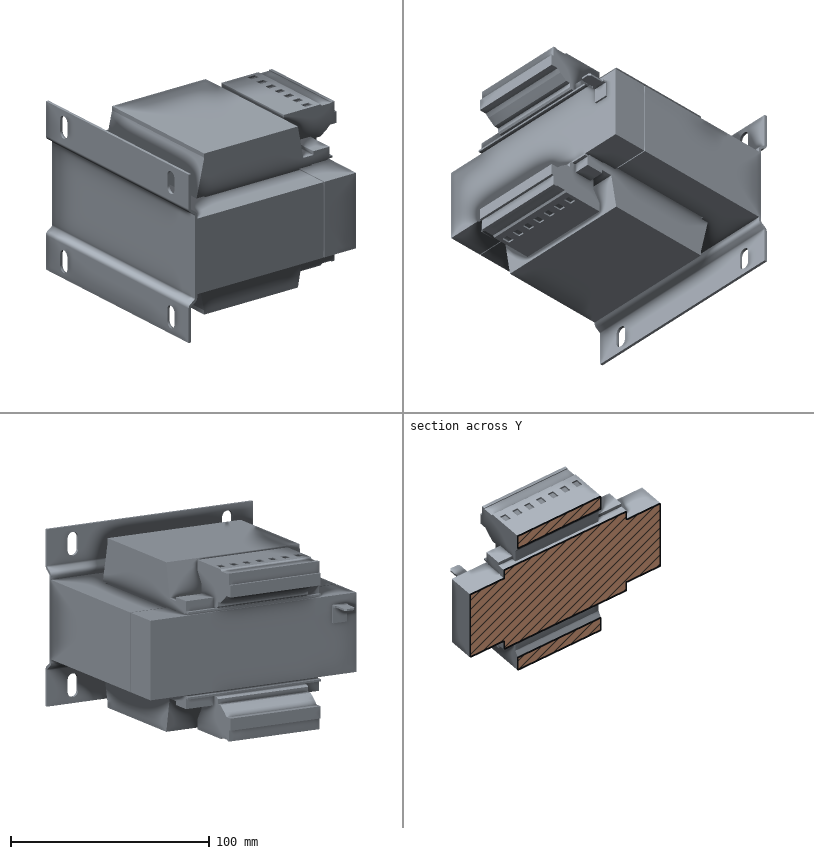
import cadquery as cq
import math


WIDTH = 120.0
BRACKET_HEIGHT = 92.0
SHEET = 1.5
FLANGE_SETBACK = 3.9
FLANGE_START = 27.1
BEND_RADIUS = 1.0
BEND_ANGLE = math.radians(55)
SLOT_SPACING = 90.0
SLOT_HEIGHT = 36.7
SLOT_LENGTH = 12.3
SLOT_WIDTH = 6.0

CORE_FRONT = FLANGE_SETBACK + SHEET
CORE_DEPTH = 100.0
CORE_BACK = CORE_FRONT + CORE_DEPTH
CORE_HALF_HEIGHT = 20.65
YOKE = 20.0
WINDOW_WIDTH = 80.0
AIR_GAP = 0.5
AIR_GAP_START = 85.0

COIL_WIDTH = 77.5
COIL_TOP = 44.0
COIL_FOOT_FRONT = 20.9
COIL_TOP_FRONT = 25.7
COIL_TOP_BACK = 84.7
COIL_FOOT_BACK = 88.1
COIL_LEAN_TOP = 41.7
CARRIER_FLOOR = 26.0
CARRIER_TOP = 28.0
CARRIER_BLOCK_FRONT = 94.5
CARRIER_BLOCK_BACK = 104.6
CARRIER_CLEARANCE = 0.45
CARRIER_CONTACT_END = 93.3
LIP_START = 103.4
LIP_BACK = 106.5
LIP_BOTTOM = 21.6
LIP_TOP = 22.65

POLE_PITCH = 7.5
POLES_PER_BLOCK = (1, 2, 2, 2)
TERMINAL_LEFT = -30.0
TERMINAL_BOTTOM = 23.1
TERMINAL_FRONT = 88.0
TERMINAL_BACK = 121.3
TERMINAL_UPPER_BACK = 119.9
TERMINAL_RIM = 43.6
MARKER_RECESS_START = 111.2
MARKER_RECESS_END = 118.1
MARKER_RECESS_DEPTH = 0.9
MARKER_RECESS_FLOOR = COIL_TOP - MARKER_RECESS_DEPTH
NOSE_TOP = 37.7
NOSE_BOTTOM = 31.4
NOSE_ROOT = 117.1
KNEE_DROP = 1.8
HAUNCH_ROOT = 111.1
HAUNCH_BOTTOM = 26.5
FOOT_FRONT = 92.0
FOOT_BACK = 108.5
FOOT_CHAMFER = 0.9
OVERHANG_BOTTOM = 32.5
OVERHANG_TOP = 38.6
POCKET_WIDTH = 3.4
POCKET_LENGTH = 4.5
POCKET_CENTRE_Y = 105.25
POCKET_DEPTH = 1.0

TAB_SHEET = 1.0
TAB_CENTRE_X = -49.85
TAB_BASE_WIDTH = 8.0
TAB_BLADE_WIDTH = 6.2
TAB_TOP = 15.9
TAB_BOTTOM = 6.5
TAB_SHOULDER = 108.3
TAB_TIP = 117.0
TAB_TIP_CHAMFER = 1.0


def box(x_range, y_range, z_range):
    """Block spanning the given (low, high) ranges."""
    size = [high - low for low, high in (x_range, y_range, z_range)]
    corner = (x_range[0], y_range[0], z_range[0])
    return cq.Workplane("XY").box(*size, centered=False).translate(corner)


def extrude_along_x(profile, x_low, x_high):
    """Extrude a closed YZ profile from x_low to x_high."""
    return profile.extrude(x_high - x_low).translate((x_low, 0, 0))


def mirror_pair(body):
    """The body and its reflection below the mid plane."""
    return body, body.mirror("XY")


def both_halves(half):
    """One body made of a half and its reflection."""
    upper, lower = mirror_pair(half)
    return upper.union(lower)


def bracket_half():
    """Upper half of the Z-bent mounting sheet with its two slots."""
    sine = math.sin(BEND_ANGLE)
    cosine = math.cos(BEND_ANGLE)
    outer_radius = BEND_RADIUS + SHEET
    radius_sum = BEND_RADIUS + outer_radius
    web = (FLANGE_SETBACK - radius_sum * (1 - cosine)) / sine
    plate_end = FLANGE_START - radius_sum * sine - web * cosine

    flange_bend = (outer_radius, FLANGE_START)
    plate_bend = (FLANGE_SETBACK - BEND_RADIUS, plate_end)

    def at_flange_bend(radius, angle):
        return (flange_bend[0] - radius * math.cos(angle), flange_bend[1] - radius * math.sin(angle))

    def at_plate_bend(radius, angle):
        return (plate_bend[0] + radius * math.cos(angle), plate_bend[1] + radius * math.sin(angle))

    half_angle = BEND_ANGLE / 2
    top = BRACKET_HEIGHT / 2
    profile = (
        cq.Workplane("YZ")
        .moveTo(FLANGE_SETBACK, 0)
        .lineTo(FLANGE_SETBACK, plate_end)
        .threePointArc(at_plate_bend(BEND_RADIUS, half_angle), at_plate_bend(BEND_RADIUS, BEND_ANGLE))
        .lineTo(*at_flange_bend(outer_radius, BEND_ANGLE))
        .threePointArc(at_flange_bend(outer_radius, half_angle), at_flange_bend(outer_radius, 0))
        .lineTo(0, top)
        .lineTo(SHEET, top)
        .lineTo(SHEET, FLANGE_START)
        .threePointArc(at_flange_bend(BEND_RADIUS, half_angle), at_flange_bend(BEND_RADIUS, BEND_ANGLE))
        .lineTo(*at_plate_bend(outer_radius, BEND_ANGLE))
        .threePointArc(at_plate_bend(outer_radius, half_angle), at_plate_bend(outer_radius, 0))
        .lineTo(CORE_FRONT, 0)
        .close()
    )
    sheet = extrude_along_x(profile, -WIDTH / 2, WIDTH / 2)
    slots = (
        cq.Workplane("XZ")
        .pushPoints([(-SLOT_SPACING / 2, SLOT_HEIGHT), (SLOT_SPACING / 2, SLOT_HEIGHT)])
        .slot2D(SLOT_LENGTH, SLOT_WIDTH, 90)
        .extrude(-SHEET)
    )
    return sheet.cut(slots)


def core():
    """E and I lamination stacks with the air gap between them."""
    width_range = (-WIDTH / 2, WIDTH / 2)
    height_range = (-CORE_HALF_HEIGHT, CORE_HALF_HEIGHT)
    window_range = (-WINDOW_WIDTH / 2, WINDOW_WIDTH / 2)
    gap_end = AIR_GAP_START + AIR_GAP
    stack = box(width_range, (CORE_FRONT, CORE_BACK), height_range)
    window = box(window_range, (CORE_FRONT + YOKE, gap_end), height_range)
    gap = box(width_range, (AIR_GAP_START, gap_end), height_range)
    return stack.cut(window).cut(gap)


def coil_half():
    """Upper half of the coil, with the carrier that holds the terminals."""
    carrier_bottom = CORE_HALF_HEIGHT + CARRIER_CLEARANCE
    profile = (
        cq.Workplane("YZ")
        .polyline([
            (CORE_FRONT + YOKE, 0),
            (CORE_FRONT + YOKE, CORE_HALF_HEIGHT),
            (COIL_FOOT_FRONT, CORE_HALF_HEIGHT),
            (COIL_TOP_FRONT, COIL_LEAN_TOP),
            (COIL_TOP_FRONT, COIL_TOP),
            (COIL_TOP_BACK, COIL_TOP),
            (COIL_FOOT_BACK, CARRIER_FLOOR),
            (CARRIER_BLOCK_FRONT, CARRIER_FLOOR),
            (CARRIER_BLOCK_FRONT, CARRIER_TOP),
            (CARRIER_BLOCK_BACK, CARRIER_TOP),
            (CARRIER_BLOCK_BACK, LIP_TOP),
            (LIP_BACK, LIP_TOP),
            (LIP_BACK, LIP_BOTTOM),
            (LIP_START, LIP_BOTTOM),
            (LIP_START, carrier_bottom),
            (CARRIER_CONTACT_END, carrier_bottom),
            (CARRIER_CONTACT_END, 0),
        ])
        .close()
    )
    return extrude_along_x(profile, -COIL_WIDTH / 2, COIL_WIDTH / 2)


def terminal_profile():
    """Side outline of a terminal block, from the top front corner backwards."""
    return (
        cq.Workplane("YZ")
        .polyline([
            (TERMINAL_FRONT, COIL_TOP),
            (MARKER_RECESS_START, COIL_TOP),
            (MARKER_RECESS_START + MARKER_RECESS_DEPTH, MARKER_RECESS_FLOOR),
            (MARKER_RECESS_END, MARKER_RECESS_FLOOR),
            (MARKER_RECESS_END, TERMINAL_RIM),
            (TERMINAL_UPPER_BACK, TERMINAL_RIM),
            (TERMINAL_UPPER_BACK, NOSE_TOP),
            (TERMINAL_BACK, NOSE_TOP),
            (TERMINAL_BACK, NOSE_BOTTOM),
            (NOSE_ROOT, NOSE_BOTTOM),
            (NOSE_ROOT - KNEE_DROP, NOSE_BOTTOM - KNEE_DROP),
            (HAUNCH_ROOT, HAUNCH_BOTTOM),
            (FOOT_BACK, HAUNCH_BOTTOM),
            (FOOT_BACK, TERMINAL_BOTTOM + FOOT_CHAMFER),
            (FOOT_BACK - FOOT_CHAMFER, TERMINAL_BOTTOM),
            (FOOT_FRONT, TERMINAL_BOTTOM),
            (FOOT_FRONT, OVERHANG_BOTTOM),
            (TERMINAL_FRONT, OVERHANG_TOP),
        ])
        .close()
    )


def terminal_blocks():
    """Row of terminal blocks, each with one test pocket per pole."""
    blocks = []
    left = TERMINAL_LEFT
    for poles in POLES_PER_BLOCK:
        right = left + poles * POLE_PITCH
        block = extrude_along_x(terminal_profile(), left, right)
        for pole in range(poles):
            centre = (left + (pole + 0.5) * POLE_PITCH, POCKET_CENTRE_Y, COIL_TOP - POCKET_DEPTH / 2)
            pocket = cq.Workplane("XY").box(POCKET_WIDTH, POCKET_LENGTH, POCKET_DEPTH)
            block = block.cut(pocket.translate(centre))
        blocks.append(block)
        left = right
    return blocks


def earth_tab():
    """L-shaped earth tab: a leg against the core back and a narrower blade."""
    def centred(width):
        return (TAB_CENTRE_X - width / 2, TAB_CENTRE_X + width / 2)

    blade_height = (TAB_TOP - TAB_SHEET, TAB_TOP)
    leg = box(centred(TAB_BASE_WIDTH), (CORE_BACK, CORE_BACK + TAB_SHEET), (TAB_BOTTOM, TAB_TOP))
    shoulder = box(centred(TAB_BASE_WIDTH), (CORE_BACK, TAB_SHOULDER), blade_height)
    blade = box(centred(TAB_BLADE_WIDTH), (CORE_BACK, TAB_TIP), blade_height)
    blade = blade.edges("|Z and >Y").chamfer(TAB_TIP_CHAMFER)
    return leg.union(shoulder).union(blade)


result = core().union(both_halves(coil_half())).union(earth_tab())

result = result.union(both_halves(bracket_half()), clean=False)
for block in terminal_blocks():
    for body in mirror_pair(block):
        result = result.union(body, clean=False)